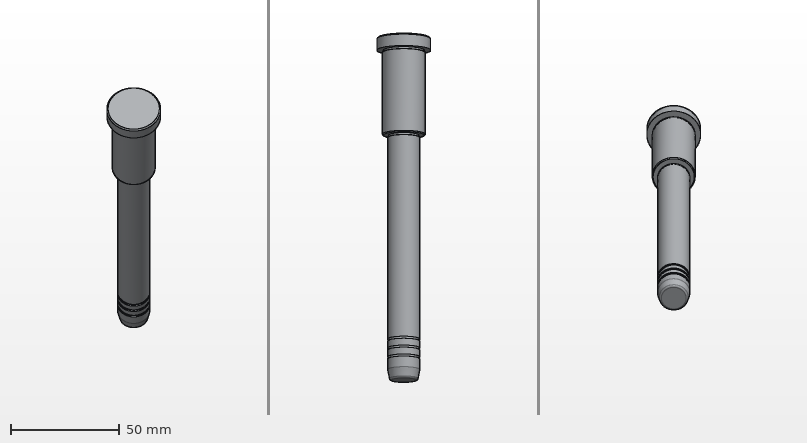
import cadquery as cq

length = 161.0
head_diameter = 25.0
head_height = 6.0
head_chamfer = 0.6
body_diameter = 20.0
shoulder_depth = 45.9
body_chamfer = 0.5
stem_diameter = 15.0

relief_width = 1.0
relief_depth = 0.5

groove_count = 3
first_groove_height = 10.5
groove_pitch = 4.2
groove_radius = 0.5

taper_height = 5.0
tip_diameter = 13.0
tip_fillet = 1.0

head_bottom = length - head_height
shoulder = length - shoulder_depth


def cylinder(diameter, bottom, top):
    return cq.Workplane("XY").workplane(offset=bottom).circle(diameter / 2).extrude(top - bottom)


def ring_cutter(diameter, depth, bottom, width):
    """Ring that removes a groove of the given depth from a round surface."""
    outer = cylinder(diameter, bottom, bottom + width)
    core = cylinder(diameter - 2 * depth, bottom, bottom + width)
    return outer.cut(core)


def make_tip():
    tip = (
        cq.Workplane("XY")
        .circle(tip_diameter / 2)
        .workplane(offset=taper_height)
        .circle(stem_diameter / 2)
        .loft()
    )
    return tip.faces("<Z").edges().fillet(tip_fillet)


head = cylinder(head_diameter, head_bottom, length).faces(">Z").edges().chamfer(head_chamfer)
body = cylinder(body_diameter, shoulder, head_bottom).faces("<Z").edges().chamfer(body_chamfer)
stem = cylinder(stem_diameter, taper_height, shoulder)
result = head.union(body).union(stem).union(make_tip())

for diameter, top in ((body_diameter, head_bottom), (stem_diameter, shoulder)):
    result = result.cut(ring_cutter(diameter, relief_depth, top - relief_width, relief_width))

for index in range(groove_count):
    groove_height = first_groove_height + index * groove_pitch
    groove = cq.Solid.makeTorus(stem_diameter / 2, groove_radius, cq.Vector(0, 0, groove_height))
    result = result.cut(cq.Workplane(groove))